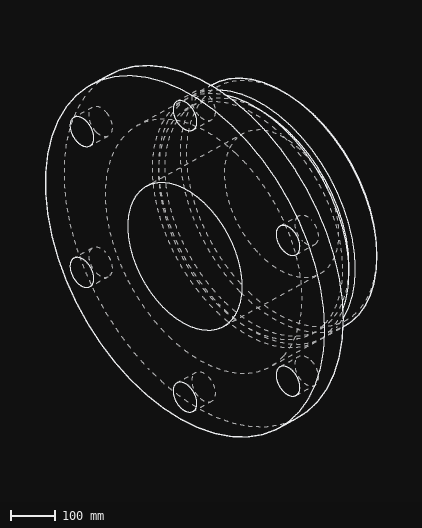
import cadquery as cq

flange_diameter = 880.0
flange_thickness = 60.0
bolt_circle_diameter = 750.0
bolt_hole_diameter = 74.0
bolt_count = 6
first_bolt_angle = 90.0

total_length = 310.0
hub_diameter = 619.5
hub_chamfer = 10.0
bore_diameter = 360.0

groove_start = 210.0
groove_width = 20.0
groove_floor_diameter = 580.0


def cylinder(diameter, start, length):
    """Solid cylinder along +Y, beginning at the given distance from the flange face."""
    plane = cq.Plane(origin=(0, start, 0), xDir=(1, 0, 0), normal=(0, 1, 0))
    return cq.Workplane(plane).circle(diameter / 2).extrude(length)


def make_hub():
    hub = cylinder(hub_diameter, 0, total_length).faces(">Y").edges().chamfer(hub_chamfer)
    groove = cylinder(flange_diameter, groove_start, groove_width)
    groove = groove.cut(cylinder(groove_floor_diameter, groove_start, groove_width))
    return hub.cut(groove)


def make_bolt_holes():
    plane = cq.Plane(origin=(0, 0, 0), xDir=(1, 0, 0), normal=(0, 1, 0))
    return (
        cq.Workplane(plane)
        .polarArray(bolt_circle_diameter / 2, first_bolt_angle, 360, bolt_count)
        .circle(bolt_hole_diameter / 2)
        .extrude(flange_thickness)
    )


flange = cylinder(flange_diameter, 0, flange_thickness)
bore = cylinder(bore_diameter, 0, total_length)
result = flange.union(make_hub()).cut(bore).cut(make_bolt_holes())